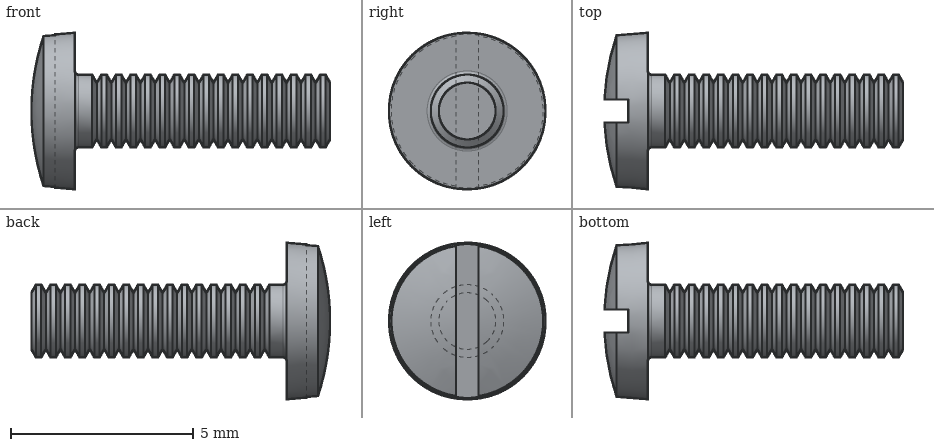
import cadquery as cq
import math


overall_length = 8.19
shank_length = 6.995
bearing_diameter = 4.3
dome_edge_radius = 2.08
dome_height = 0.34

slot_width = 0.62
slot_depth = 0.655

shank_radius = 1.0
root_radius = 0.78
threaded_length = 6.4
groove_count = 16
thread_angle = 60.0
underhead_fillet = 0.1

dome_radius = (dome_edge_radius**2 + dome_height**2) / (2 * dome_height)
lip_drop = dome_radius - math.sqrt(dome_radius**2 - (slot_width / 2)**2)
lip_x = shank_length - overall_length
crown_x = lip_x - lip_drop
dome_edge_x = crown_x + dome_height

bearing_radius = bearing_diameter / 2
pitch = threaded_length / groove_count
flank_length = (shank_radius - root_radius) * math.tan(math.radians(thread_angle / 2))


def make_head():
    """Tapered disc with a spherical dome, revolved about X."""
    mid_angle = math.asin(dome_edge_radius / dome_radius) / 2
    mid_x = crown_x + dome_radius * (1 - math.cos(mid_angle))
    mid_radius = dome_radius * math.sin(mid_angle)
    profile = (
        cq.Workplane("XY")
        .moveTo(crown_x, 0)
        .threePointArc((mid_x, mid_radius), (dome_edge_x, dome_edge_radius))
        .lineTo(0, bearing_radius)
        .lineTo(0, 0)
        .close()
    )
    return profile.revolve(360, (0, 0, 0), (1, 0, 0))


def make_shank():
    """Shank with an underhead fillet, V grooves and a tip bevelled to the root."""
    arc_shift = underhead_fillet * (1 - math.sqrt(0.5))
    profile = (
        cq.Workplane("XY")
        .lineTo(0, shank_radius + underhead_fillet)
        .threePointArc((arc_shift, shank_radius + arc_shift), (underhead_fillet, shank_radius))
    )
    for pitches_to_tip in range(groove_count, 0, -1):
        groove_x = shank_length - pitches_to_tip * pitch
        profile = (
            profile.lineTo(groove_x - flank_length, shank_radius)
            .lineTo(groove_x, root_radius)
            .lineTo(groove_x + flank_length, shank_radius)
        )
    profile = (
        profile.lineTo(shank_length - flank_length, shank_radius)
        .lineTo(shank_length, root_radius)
        .lineTo(shank_length, 0)
        .close()
    )
    return profile.revolve(360, (0, 0, 0), (1, 0, 0))


def make_slot():
    """Screwdriver slot running along Z across the whole head."""
    slot_floor_x = lip_x + slot_depth
    return (
        cq.Workplane("XY")
        .box(slot_floor_x - crown_x, slot_width, 2 * bearing_radius, centered=(False, True, True))
        .translate((crown_x, 0, 0))
    )


result = make_head().union(make_shank()).cut(make_slot())